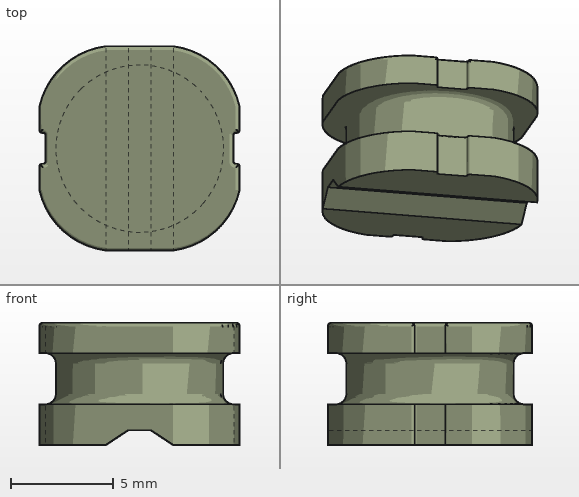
import cadquery as cq
import math

width = 9.8
length = 10.0
height = 6.0

base_height = 2.0
cap_height = 1.5
core_radius = 4.1
core_fillet = 0.5
cap_edge_fillet = 0.2

end_flat_half = 1.65
side_flat_half = 2.05
corner_reach = 5.5

notch_depth = 0.3
notch_half = 0.75
notch_mouth_radius = 0.15
notch_root_radius = 0.1

channel_half_mouth = end_flat_half
channel_half_roof = 0.55
channel_height = 0.73

slab_margin = 1.0

half_width = width / 2
half_length = length / 2
cap_bottom = height - cap_height


def flange_blank(bottom, thickness):
    """Rounded flange body before the side notches are cut."""
    corner_middle = corner_reach * math.sqrt(0.5)
    outline = cq.Workplane("XY").workplane(offset=bottom).moveTo(-end_flat_half, half_length)
    outline = (
        outline.lineTo(end_flat_half, half_length)
        .threePointArc((corner_middle, corner_middle), (half_width, side_flat_half))
        .lineTo(half_width, -side_flat_half)
        .threePointArc((corner_middle, -corner_middle), (end_flat_half, -half_length))
        .lineTo(-end_flat_half, -half_length)
        .threePointArc((-corner_middle, -corner_middle), (-half_width, -side_flat_half))
        .lineTo(-half_width, side_flat_half)
        .threePointArc((-corner_middle, corner_middle), (-end_flat_half, half_length))
        .close()
    )
    return outline.extrude(thickness)


def side_notch(bottom, thickness):
    """Cutter for the +X notch, with a flared mouth and rounded root."""
    floor_x = half_width - notch_depth
    root_half = notch_half - notch_root_radius
    mouth_half = notch_half + notch_mouth_radius
    root_end_x = floor_x + notch_root_radius
    mouth_start_x = half_width - notch_mouth_radius
    return (
        cq.Workplane("XY").workplane(offset=bottom)
        .moveTo(half_width, mouth_half)
        .radiusArc((mouth_start_x, notch_half), notch_mouth_radius)
        .lineTo(root_end_x, notch_half)
        .radiusArc((floor_x, root_half), -notch_root_radius)
        .lineTo(floor_x, -root_half)
        .radiusArc((root_end_x, -notch_half), -notch_root_radius)
        .lineTo(mouth_start_x, -notch_half)
        .radiusArc((half_width, -mouth_half), notch_mouth_radius)
        .close()
        .extrude(thickness)
    )


def core():
    """Round core flaring into both flanges with concave fillets."""
    flare_radius = core_radius + core_fillet
    diagonal = core_fillet * (1 - math.sqrt(0.5))
    flare_middle = core_radius + diagonal
    return (
        cq.Workplane("XZ")
        .moveTo(0, base_height)
        .lineTo(flare_radius, base_height)
        .threePointArc((flare_middle, base_height + diagonal), (core_radius, base_height + core_fillet))
        .lineTo(core_radius, cap_bottom - core_fillet)
        .threePointArc((flare_middle, cap_bottom - diagonal), (flare_radius, cap_bottom))
        .lineTo(0, cap_bottom)
        .close()
        .revolve(360, (0, 0), (0, 1))
    )


def underside_channel():
    """Trapezoidal channel running the full length of the underside."""
    return (
        cq.Workplane("XZ")
        .moveTo(-channel_half_mouth, 0)
        .lineTo(-channel_half_roof, channel_height)
        .lineTo(channel_half_roof, channel_height)
        .lineTo(channel_half_mouth, 0)
        .close()
        .extrude(half_length, both=True)
    )


def notch_rim_slab():
    """Oversized slab whose side notches have a rounded top rim."""
    slab_half_width = half_width + slab_margin
    slab_length = length + 2 * slab_margin
    floor_x = half_width - notch_depth
    middle_z = cap_bottom + cap_height / 2
    slab = cq.Workplane("XY").box(2 * slab_half_width, slab_length, cap_height)
    slab = slab.translate((0, 0, middle_z))
    notch = (
        cq.Workplane("XY").box(2 * (slab_half_width - floor_x), 2 * notch_half, cap_height)
        .edges("|Z").fillet(notch_root_radius)
    )
    slab = slab.cut(notch.translate((slab_half_width, 0, middle_z)))
    slab = slab.cut(notch.translate((-slab_half_width, 0, middle_z)))
    return slab.faces(">Z").edges().fillet(cap_edge_fillet)


def cap():
    """Top flange with its upper rim rounded around the outline and notches."""
    notch = side_notch(cap_bottom, cap_height)
    blank = flange_blank(cap_bottom, cap_height).faces(">Z").edges().fillet(cap_edge_fillet)
    return blank.intersect(notch_rim_slab()).cut(notch).cut(notch.mirror("YZ"))


def base():
    """Bottom flange with its side notches and underside channel."""
    notch = side_notch(0, base_height)
    blank = flange_blank(0, base_height).cut(underside_channel())
    return blank.cut(notch).cut(notch.mirror("YZ"))


result = base().union(core()).union(cap())